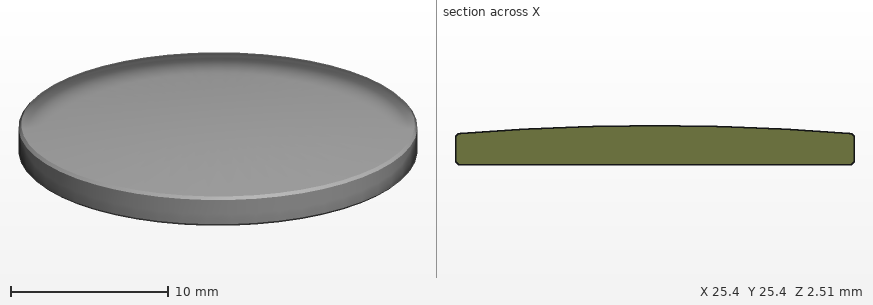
import cadquery as cq

diameter = 25.4
center_thickness = 2.51
chamfer = 0.18
dome_rim_height = 2.0

radius = diameter / 2
face_radius = radius - chamfer
dome_rise = center_thickness - dome_rim_height
sphere_radius = (face_radius**2 + dome_rise**2) / (2 * dome_rise)

mid_radius = face_radius / 2
mid_height = center_thickness - sphere_radius + (sphere_radius**2 - mid_radius**2) ** 0.5

half_section = (
    cq.Workplane("XZ")
    .lineTo(face_radius, 0)
    .lineTo(radius, chamfer)
    .lineTo(radius, dome_rim_height - chamfer)
    .lineTo(face_radius, dome_rim_height)
    .threePointArc((mid_radius, mid_height), (0, center_thickness))
    .close()
)

result = half_section.revolve(360, (0, 0, 0), (0, 1, 0))